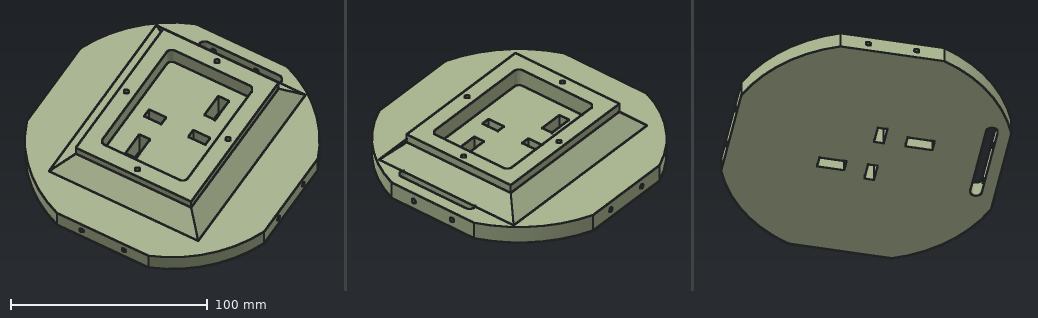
import cadquery as cq

DISC_RADIUS = 75.0
FLAT_SPAN = 140.0
PLATE_HEIGHT = 10.0

HOUSING_CENTER_Y = 5.0
BLOCK_WIDTH = 68.0
BLOCK_LENGTH = 88.0
BLOCK_HEIGHT = 5.0
SKIRT_HEIGHT = 10.0
SKIRT_WIDTH = BLOCK_WIDTH + 2 * SKIRT_HEIGHT
SKIRT_LENGTH = BLOCK_LENGTH + 2 * SKIRT_HEIGHT
TOP_Z = PLATE_HEIGHT + SKIRT_HEIGHT + BLOCK_HEIGHT

RECESS_WIDTH = 50.0
RECESS_LENGTH = 70.0
RECESS_DEPTH = 10.0
RECESS_CORNER_RADIUS = 3.0

PIN_INNER_X = 8.0
FLAT_PIN_WIDTH = 10.0
FLAT_PIN_LENGTH = 5.0
TALL_PIN_WIDTH = 6.3
TALL_PIN_LENGTH = 14.0
TALL_PIN_OFFSET_Y = 20.7

SLOT_WIDTH = 48.0
SLOT_LENGTH = 6.0
SLOT_CENTER_X = 5.0
SLOT_OUTER_Y = 63.0

SCREW_DIAMETER = 2.5
SCREW_DEPTH = 10.0
RIM_SCREW_X = 30.0
RIM_SCREW_Y = 40.0
EDGE_SCREW_SPACING = 25.0


def box_on(z, width, length, height, x=0.0, y=0.0):
    """Upright block centred at (x, y) with its bottom at height z."""
    return cq.Workplane("XY", origin=(x, y, z)).rect(width, length).extrude(height)


def make_plate():
    disc = cq.Workplane("XY").circle(DISC_RADIUS).extrude(PLATE_HEIGHT)
    plate = disc.intersect(box_on(0, FLAT_SPAN, FLAT_SPAN, PLATE_HEIGHT))
    slot_center_y = SLOT_OUTER_Y - SLOT_LENGTH / 2
    slot = (
        cq.Workplane("XY", origin=(SLOT_CENTER_X, slot_center_y, 0))
        .slot2D(SLOT_WIDTH, SLOT_LENGTH)
        .extrude(PLATE_HEIGHT)
    )
    return plate.cut(slot)


def make_housing():
    skirt = (
        cq.Workplane("XY", origin=(0, HOUSING_CENTER_Y, PLATE_HEIGHT))
        .rect(SKIRT_WIDTH, SKIRT_LENGTH)
        .workplane(offset=SKIRT_HEIGHT)
        .rect(BLOCK_WIDTH, BLOCK_LENGTH)
        .loft(ruled=True)
    )
    block_z = PLATE_HEIGHT + SKIRT_HEIGHT
    return skirt.union(box_on(block_z, BLOCK_WIDTH, BLOCK_LENGTH, BLOCK_HEIGHT, y=HOUSING_CENTER_Y))


def make_recess():
    floor_z = TOP_Z - RECESS_DEPTH
    recess = box_on(floor_z, RECESS_WIDTH, RECESS_LENGTH, RECESS_DEPTH, y=HOUSING_CENTER_Y)
    return recess.edges("|Z").fillet(RECESS_CORNER_RADIUS)


def make_pin_openings():
    openings = cq.Workplane("XY")
    for side in (-1, 1):
        flat_x = side * (PIN_INNER_X + FLAT_PIN_WIDTH / 2)
        tall_x = side * (PIN_INNER_X + TALL_PIN_WIDTH / 2)
        tall_y = HOUSING_CENTER_Y + side * TALL_PIN_OFFSET_Y
        openings = openings.add(box_on(0, FLAT_PIN_WIDTH, FLAT_PIN_LENGTH, TOP_Z, flat_x, HOUSING_CENTER_Y))
        openings = openings.add(box_on(0, TALL_PIN_WIDTH, TALL_PIN_LENGTH, TOP_Z, tall_x, tall_y))
    return openings.combine()


def make_rim_screws():
    """Vertical holes in the middle of each side of the rim around the recess."""
    places = [(-RIM_SCREW_X, 0), (RIM_SCREW_X, 0), (0, -RIM_SCREW_Y), (0, RIM_SCREW_Y)]
    top = cq.Workplane("XY", origin=(0, HOUSING_CENTER_Y, TOP_Z))
    return top.pushPoints(places).circle(SCREW_DIAMETER / 2).extrude(-SCREW_DEPTH)


def make_edge_screws(quarter_turns):
    """Pair of horizontal holes in one flat of the plate, counted in quarter turns from -Y."""
    half = EDGE_SCREW_SPACING / 2
    pair = (
        cq.Workplane("XZ", origin=(0, -FLAT_SPAN / 2, PLATE_HEIGHT / 2))
        .pushPoints([(-half, 0), (half, 0)])
        .circle(SCREW_DIAMETER / 2)
        .extrude(-SCREW_DEPTH)
    )
    return pair.rotate((0, 0, 0), (0, 0, 1), 90 * quarter_turns)


result = make_plate().union(make_housing())
result = result.cut(make_recess()).cut(make_pin_openings()).cut(make_rim_screws())
for turn in range(4):
    result = result.cut(make_edge_screws(turn))